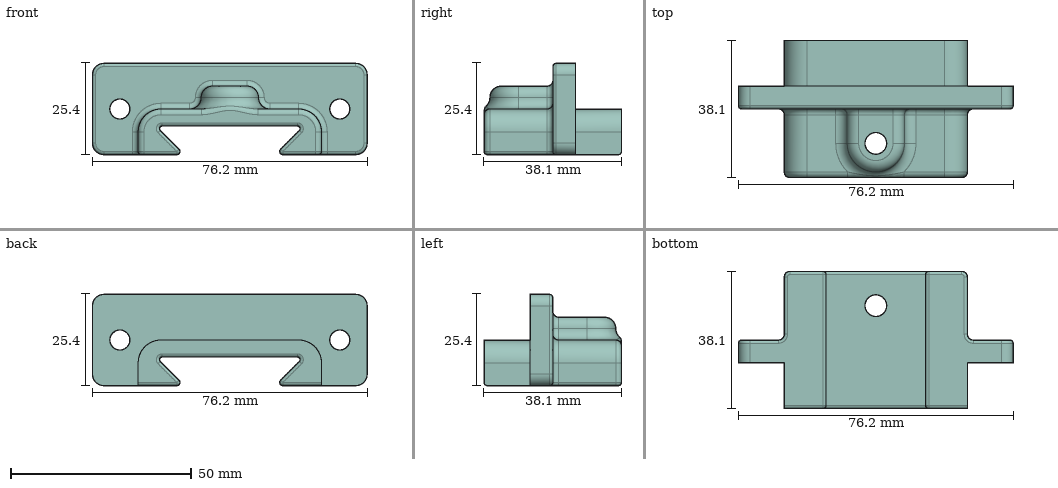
import cadquery as cq
import math

plate_width = 76.2
plate_height = 25.4
plate_thickness = 6.3
plate_corner_radius = 3.2
screw_hole_diameter = 5.5
screw_hole_spacing = 60.95

body_width = 50.8
body_height = plate_height / 2
body_reach = 19.05
body_corner_radius = 6.3

slot_height = 7.9
slot_bottom_half_width = 12.5
slot_flank_angle = 45.0
slot_corner_radius = 0.7

boss_top = 19.05
boss_flat_diameter = 9.5
boss_center_y = -body_reach / 2
boss_hole_diameter = 5.95

join_radius = 1.6
small_radius = 0.9

boss_arc_radius = (boss_top - body_height) / 2
boss_flat_radius = boss_flat_diameter / 2
boss_wall_radius = boss_flat_radius + boss_arc_radius
boss_foot_radius = boss_wall_radius + boss_arc_radius

tolerance = 0.01


def make_plate():
    plate = cq.Workplane("XY").box(
        plate_width, plate_thickness, plate_height, centered=(True, False, False)
    )
    return plate.edges("|Y").fillet(plate_corner_radius)


def make_body():
    body = cq.Workplane("XY").box(
        body_width, 2 * body_reach, body_height, centered=(True, True, False)
    )
    return body.edges("|Y and >Z").fillet(body_corner_radius)


def boss_half_profile():
    """Half section of the boss, from its axis to its flared foot."""
    middle = boss_arc_radius * math.sqrt(0.5)
    middle_height = boss_top - boss_arc_radius
    return (
        cq.Workplane("XZ", origin=(0, boss_center_y, 0))
        .moveTo(0, slot_height + small_radius)
        .lineTo(0, boss_top)
        .lineTo(boss_flat_radius, boss_top)
        .threePointArc(
            (boss_flat_radius + middle, middle_height + middle),
            (boss_wall_radius, middle_height),
        )
        .threePointArc(
            (boss_foot_radius - middle, middle_height - middle),
            (boss_foot_radius, body_height),
        )
        .lineTo(boss_foot_radius, slot_height + small_radius)
        .close()
    )


def make_boss():
    nose = boss_half_profile().revolve(180, (0, 0.8, 0), (0, 0, 0))
    right_run = boss_half_profile().extrude(boss_center_y)
    boss = nose.union(right_run).union(right_run.mirror("YZ"))
    limit = cq.Workplane("XY").box(
        body_width, body_reach + plate_thickness, plate_height, centered=(True, False, False)
    )
    return boss.intersect(limit.translate((0, -body_reach, 0)))


def cut_slot(solid):
    flank_spread = slot_height / math.tan(math.radians(slot_flank_angle))
    top_half_width = slot_bottom_half_width + flank_spread
    slot = (
        cq.Workplane("XZ")
        .polyline([
            (-slot_bottom_half_width, 0),
            (slot_bottom_half_width, 0),
            (top_half_width, slot_height),
            (-top_half_width, slot_height),
        ])
        .close()
        .extrude(body_reach, both=True)
        .edges("|Y and >Z")
        .fillet(slot_corner_radius)
    )
    return solid.cut(slot)


def round_plate_join(solid):
    """Concave fillet where the body and boss meet the front of the plate."""
    half = body_width / 2 + tolerance
    join_zone = cq.selectors.BoxSelector(
        (-half, -tolerance, tolerance), (half, tolerance, plate_height - tolerance)
    )
    return solid.edges(join_zone).fillet(join_radius)


def round_front(solid):
    """Fillet on the sides and top of the front face, over the foot of the boss."""
    front = solid.faces("<Y").edges().filter(lambda edge: edge.Center().z > tolerance)
    return front.fillet(join_radius)


def needs_small_rounding(edge):
    """Plate front outline, slot mouths, slot lips and the bottom edges reached from them."""
    box = edge.BoundingBox()
    center = edge.Center()
    flat_in_y = box.ylen < tolerance
    on_bottom = box.zmax < tolerance
    plate_outline = flat_in_y and abs(center.y) < tolerance and (
        abs(center.x) > plate_width / 2 - plate_corner_radius
        or center.z > plate_height - tolerance
    )
    slot_mouth = (
        flat_in_y
        and abs(abs(center.y) - body_reach) < tolerance
        and box.zmax < slot_height + tolerance
        and abs(center.x) < body_width / 2 - body_corner_radius + small_radius
    )
    front_bottom = on_bottom and center.y < tolerance
    return plate_outline or slot_mouth or front_bottom


def round_small_edges(solid):
    return solid.edges().filter(needs_small_rounding).fillet(small_radius)


def drill_holes(solid):
    screw_holes = (
        cq.Workplane("XZ", origin=(0, 0, plate_height / 2))
        .pushPoints([(-screw_hole_spacing / 2, 0), (screw_hole_spacing / 2, 0)])
        .circle(screw_hole_diameter / 2)
        .extrude(-plate_thickness)
    )
    boss_hole = (
        cq.Workplane("XY", origin=(0, boss_center_y, 0))
        .circle(boss_hole_diameter / 2)
        .extrude(boss_top)
    )
    return solid.cut(screw_holes).cut(boss_hole)


bracket = make_plate().union(make_body()).union(make_boss())
bracket = round_plate_join(bracket)
bracket = round_front(bracket)
bracket = cut_slot(bracket)
bracket = round_small_edges(bracket)
result = drill_holes(bracket)